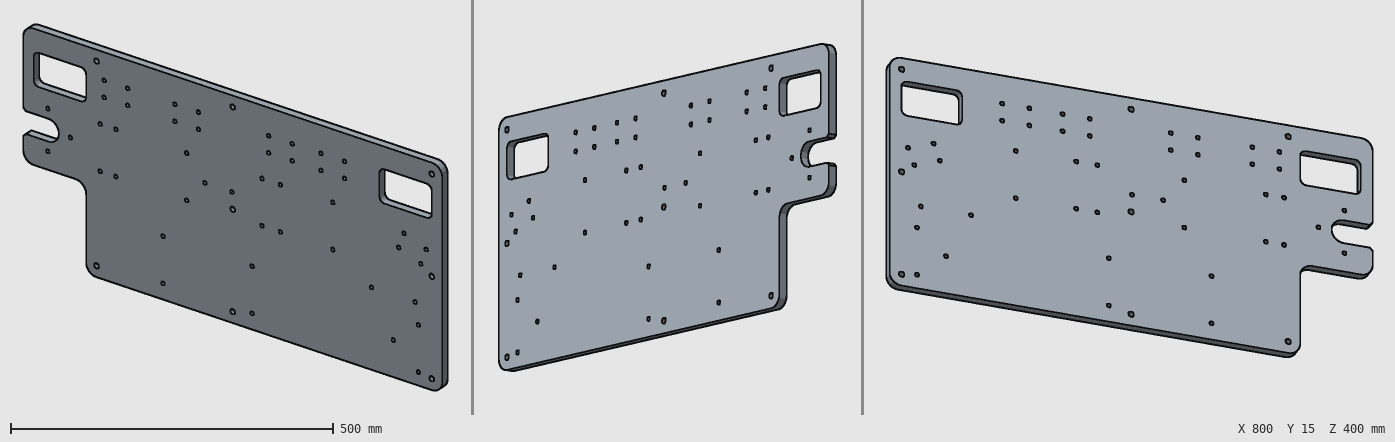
import cadquery as cq
import math

LENGTH = 800.0
THICKNESS = 15.0
HEIGHT = 400.0
CORNER_RADIUS = 20.0
LEFT = -LENGTH / 2
RIGHT = LENGTH / 2
BOTTOM = -HEIGHT / 2
TOP = HEIGHT / 2

STEP_LENGTH = 120.0
STEP_HEIGHT = 160.0
STEP_X = LEFT + STEP_LENGTH
STEP_Z = BOTTOM + STEP_HEIGHT

AXIS_Z = 30.0
NOTCH_WIDTH = 40.0
NOTCH_DEPTH = 68.0
NOTCH_MOUTH_CHAMFER = 5.0

WINDOW_LENGTH = 100.0
WINDOW_HEIGHT = 60.0
WINDOW_RADIUS = 10.0
WINDOW_SIDE_MARGIN = 20.0
WINDOW_TOP_MARGIN = 40.0
WINDOW_X = RIGHT - WINDOW_SIDE_MARGIN - WINDOW_LENGTH / 2
WINDOW_Z = TOP - WINDOW_TOP_MARGIN - WINDOW_HEIGHT / 2

BORDER_HOLE_DIAMETER = 9.0
BORDER_HOLE_MARGIN = 20.0

MOUNT_HOLE_DIAMETER = 6.6

TOP_GROUP_CENTRES_X = [-223.0, -88.0, 91.0, 191.0]
TOP_GROUP_Z = 135.5
TOP_GROUP_PITCH_X = 45.0
TOP_GROUP_PITCH_Z = 30.0

PAIR_PITCH = 83.0
EXTRA_PAIRS_X = [-253.0, 56.0]
NOTCH_PAIR_X = -353.0
NOTCH_PAIR_PITCH = 75.0

AXIS_HOLES_X = [-310.0, -53.0, -1.5]

LOWER_GROUP_X = -48.0
LOWER_GROUP_Z = -130.0
LOWER_GROUP_PITCH_X = 170.0

TILTED_GROUP_X = 343.0
TILTED_GROUP_Z = 37.5
TILTED_GROUP_LENGTH = 45.0
TILTED_GROUP_WIDTH = 30.0
TILTED_GROUP_ANGLE = -20.0

CORNER_GROUP_X = 306.5
CORNER_GROUP_Z = -134.75
LEVEL_PAIR_Z = -55.0
UPRIGHT_PAIR_X = 354.5


def front_plane():
    """XZ sketch plane through the middle of the thickness."""
    return cq.Workplane("XZ")


def cutter(sketch):
    """Extrude a sketch well past both faces of the plate."""
    return sketch.extrude(THICKNESS, both=True)


def make_plate():
    outline = [
        (STEP_X, BOTTOM),
        (RIGHT, BOTTOM),
        (RIGHT, TOP),
        (LEFT, TOP),
        (LEFT, STEP_Z),
        (STEP_X, STEP_Z),
    ]
    plate = front_plane().polyline(outline).close().extrude(THICKNESS / 2, both=True)
    return plate.edges("|Y").fillet(CORNER_RADIUS)


def cut_notch(plate):
    slot = front_plane().center(LEFT, AXIS_Z).slot2D(2 * NOTCH_DEPTH, NOTCH_WIDTH)
    plate = plate.cut(cutter(slot))
    mouth = cq.selectors.BoxSelector(
        (LEFT - NOTCH_MOUTH_CHAMFER, -THICKNESS, AXIS_Z - NOTCH_WIDTH),
        (LEFT + NOTCH_MOUTH_CHAMFER, THICKNESS, AXIS_Z + NOTCH_WIDTH),
    )
    return plate.edges("|Y").edges(mouth).chamfer(NOTCH_MOUTH_CHAMFER)


def cut_windows(plate):
    centres = [(-WINDOW_X, WINDOW_Z), (WINDOW_X, WINDOW_Z)]
    windows = cutter(front_plane().pushPoints(centres).rect(WINDOW_LENGTH, WINDOW_HEIGHT))
    return plate.cut(windows.edges("|Y").fillet(WINDOW_RADIUS))


def drill(plate, points, diameter):
    return plate.cut(cutter(front_plane().pushPoints(points).circle(diameter / 2)))


def upright_pair(x, z, pitch):
    return [(x, z - pitch / 2), (x, z + pitch / 2)]


def level_pair(x, z, pitch):
    return [(x - pitch / 2, z), (x + pitch / 2, z)]


def rectangle_group(x, z, pitch_x, pitch_z, angle=0.0):
    """Corners of a rectangle centred at (x, z), turned by angle degrees."""
    cosine = math.cos(math.radians(angle))
    sine = math.sin(math.radians(angle))
    corners = []
    for arm_x in (-pitch_x / 2, pitch_x / 2):
        for arm_z in (-pitch_z / 2, pitch_z / 2):
            corner_x = x + arm_x * cosine - arm_z * sine
            corner_z = z + arm_x * sine + arm_z * cosine
            corners.append((corner_x, corner_z))
    return corners


def border_points():
    right_x = RIGHT - BORDER_HOLE_MARGIN
    left_x = STEP_X + BORDER_HOLE_MARGIN
    top_z = TOP - BORDER_HOLE_MARGIN
    points = [(0, 0), (right_x, 0)]
    for x in (left_x, 0, right_x):
        points += [(x, -top_z), (x, top_z)]
    return points


def notch_axis_points():
    points = [(x, AXIS_Z) for x in AXIS_HOLES_X]
    points += upright_pair(NOTCH_PAIR_X, AXIS_Z, NOTCH_PAIR_PITCH)
    for x in TOP_GROUP_CENTRES_X + EXTRA_PAIRS_X:
        points += upright_pair(x, AXIS_Z, PAIR_PITCH)
    return points


def top_group_points():
    points = []
    for x in TOP_GROUP_CENTRES_X:
        points += rectangle_group(x, TOP_GROUP_Z, TOP_GROUP_PITCH_X, TOP_GROUP_PITCH_Z)
    return points


def lower_group_points():
    return rectangle_group(LOWER_GROUP_X, LOWER_GROUP_Z, LOWER_GROUP_PITCH_X, PAIR_PITCH)


def tilted_group_points():
    return rectangle_group(
        TILTED_GROUP_X,
        TILTED_GROUP_Z,
        TILTED_GROUP_LENGTH,
        TILTED_GROUP_WIDTH,
        TILTED_GROUP_ANGLE,
    )


def corner_group_points():
    points = [(CORNER_GROUP_X, CORNER_GROUP_Z)]
    points += level_pair(CORNER_GROUP_X, LEVEL_PAIR_Z, PAIR_PITCH)
    points += upright_pair(UPRIGHT_PAIR_X, CORNER_GROUP_Z, PAIR_PITCH)
    return points


def mount_points():
    points = notch_axis_points() + top_group_points() + lower_group_points()
    return points + tilted_group_points() + corner_group_points()


result = cut_windows(cut_notch(make_plate()))
result = drill(result, border_points(), BORDER_HOLE_DIAMETER)
result = drill(result, mount_points(), MOUNT_HOLE_DIAMETER)